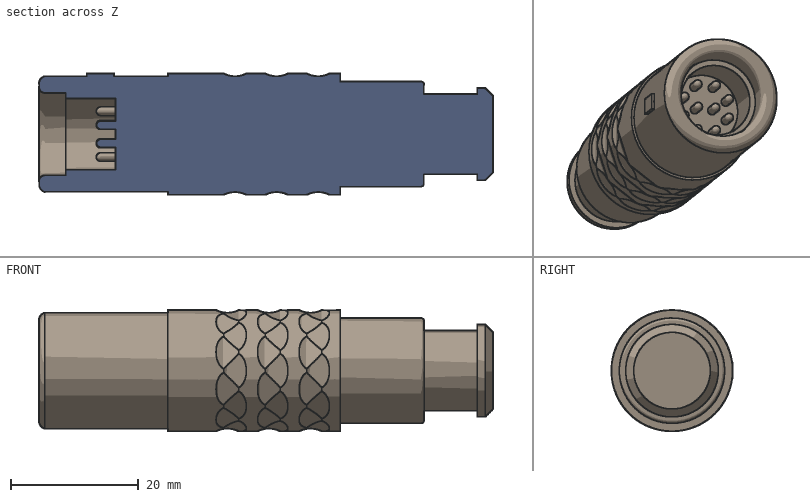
import cadquery as cq
import math


TUBE_RADIUS = 9.1
TUBE_END = 20.2
GRIP_RADIUS = 9.5
GRIP_END = 47.2
COLLAR_RADIUS = 8.25
COLLAR_END = 60.3
COLLAR_EDGE = 0.5
NECK_RADIUS = 6.3
NECK_END = 68.6
FLANGE_RADIUS = 7.25
FLANGE_CHAMFER = 1.25
LENGTH = 71.1

RIM_OUTER_ROUND = 1.3
RIM_OUTER_HEIGHT = 1.25
RIM_INNER_ROUND = 1.0
MOUTH_RADIUS = 6.42
MOUTH_DEPTH = 4.2
BORE_RADIUS = 5.55
BORE_DEPTH = 12.0

PIN_RADIUS = 0.67
PIN_LENGTH = 3.0
OUTER_PIN_COUNT = 8
OUTER_PIN_CIRCLE = 3.88
INNER_PIN_OFFSET = 1.4

SCALLOPS_PER_ROW = 10
SCALLOP_DEPTH = 0.42
SCALLOP_WIDTH = 3.55
ROW_SPACING = 1.2
FIRST_BAND_X = 30.1
BAND_PITCH = 6.5
BAND_COUNT = 3

MARK_X = 9.65
MARK_LENGTH = 4.3
MARK_WIDTH = 2.4
MARK_TOP = GRIP_RADIUS


def x_cylinder(radius, start, end):
    return cq.Workplane("YZ", origin=(start, 0, 0)).circle(radius).extrude(end - start)


def make_tube():
    face_radius = TUBE_RADIUS - RIM_OUTER_HEIGHT
    crease_x = RIM_OUTER_ROUND - math.sqrt(RIM_OUTER_ROUND**2 - RIM_OUTER_HEIGHT**2)
    return (
        cq.Workplane("XY")
        .lineTo(0, face_radius)
        .tangentArcPoint((crease_x, TUBE_RADIUS), relative=False)
        .lineTo(TUBE_END, TUBE_RADIUS)
        .lineTo(TUBE_END, 0)
        .close()
        .revolve(360, (0, 0, 0), (1, 0, 0))
    )


def make_body():
    tube = make_tube()
    grip = x_cylinder(GRIP_RADIUS, TUBE_END, GRIP_END)
    collar = x_cylinder(COLLAR_RADIUS, GRIP_END, COLLAR_END)
    collar = collar.faces(">X").edges().fillet(COLLAR_EDGE)
    neck = x_cylinder(NECK_RADIUS, COLLAR_END, NECK_END)
    flange = x_cylinder(FLANGE_RADIUS, NECK_END, LENGTH)
    flange = flange.faces(">X").edges().chamfer(FLANGE_CHAMFER)
    return tube.union(grip).union(collar).union(neck).union(flange)


def cut_scallops(body):
    cutter_radius = (SCALLOP_WIDTH**2 / 4 + SCALLOP_DEPTH**2) / (2 * SCALLOP_DEPTH)
    axis_height = GRIP_RADIUS - SCALLOP_DEPTH + cutter_radius
    pitch_angle = 360 / SCALLOPS_PER_ROW
    for band in range(BAND_COUNT):
        band_x = FIRST_BAND_X + band * BAND_PITCH
        for side, start_angle in ((-1, 0), (1, pitch_angle / 2)):
            row_x = band_x + side * ROW_SPACING / 2
            cutter = (
                cq.Workplane("XZ")
                .center(row_x, axis_height)
                .circle(cutter_radius)
                .extrude(GRIP_RADIUS / 2, both=True)
            )
            for index in range(SCALLOPS_PER_ROW):
                angle = start_angle + index * pitch_angle
                body = body.cut(cutter.rotate((0, 0, 0), (1, 0, 0), angle))
    return body


def cut_socket(body):
    body = body.cut(x_cylinder(MOUTH_RADIUS, 0, MOUTH_DEPTH))
    body = body.cut(x_cylinder(BORE_RADIUS, MOUTH_DEPTH, BORE_DEPTH))
    mouth_edge = cq.selectors.RadiusNthSelector(0)
    return body.faces("<X").edges(mouth_edge).fillet(RIM_INNER_ROUND)


def pin_centers():
    centers = [(INNER_PIN_OFFSET, 0), (-INNER_PIN_OFFSET, 0)]
    for index in range(OUTER_PIN_COUNT):
        angle = 2 * math.pi * (index + 0.5) / OUTER_PIN_COUNT
        centers.append((OUTER_PIN_CIRCLE * math.cos(angle), OUTER_PIN_CIRCLE * math.sin(angle)))
    return centers


def add_pins(body):
    dome_x = BORE_DEPTH - PIN_LENGTH + PIN_RADIUS
    shank = x_cylinder(PIN_RADIUS, dome_x, BORE_DEPTH + PIN_RADIUS)
    dome = cq.Workplane("XY").sphere(PIN_RADIUS).translate((dome_x, 0, 0))
    pin = shank.union(dome)
    for y, z in pin_centers():
        body = body.union(pin.translate((0, y, z)))
    return body


def add_mark(body):
    wall_middle = (TUBE_RADIUS + MOUTH_RADIUS) / 2
    mark = (
        cq.Workplane("XZ", origin=(MARK_X, wall_middle, 0))
        .rect(MARK_LENGTH, MARK_WIDTH)
        .extrude(wall_middle - MARK_TOP)
    )
    return body.union(mark)


result = add_mark(add_pins(cut_socket(cut_scallops(make_body()))))